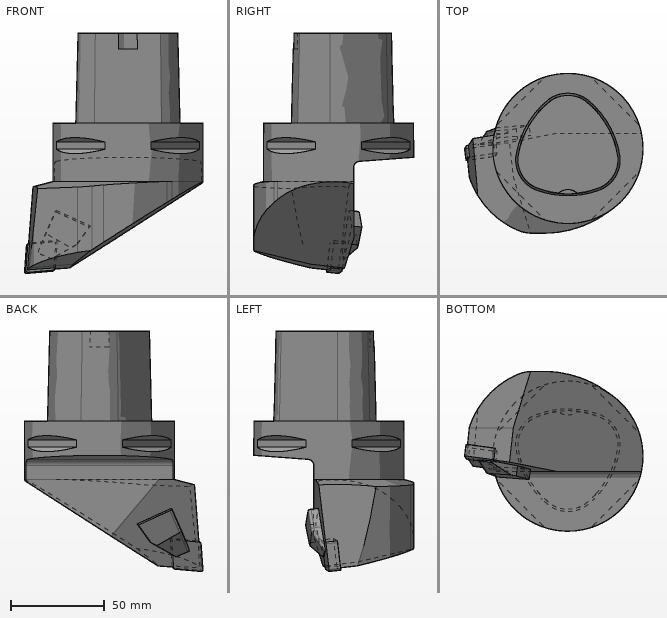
import cadquery as cq
import math


def tan_deg(angle):
    return math.tan(math.radians(angle))


shank_length = 48.0
flange_radius = 80.0 / 2
flange_height = 31.0
seam_angle = 120.0
tool_reach = 80.0
big = 256.0

lobe_reach = 29.5
flat_reach = 25.2
junction_radius = 28.2
junction_angle = 20.7
shank_taper = math.degrees(math.atan(1 / 40))
notch_radius = 7.3
notch_depth_y = -21.9
notch_height = 8.5

groove_z = -11.9
groove_floor_distance = 35.6
groove_floor_height = 3.8
groove_mouth_height = 8.6

chip_wall_y = 8.0
chip_roof_edge_z = -18.2
chip_roof_slope = 4.3
chip_corner_radius = 3.2

head_side_x = -57.6
side_arc_start = (-52.6, -15.1)
side_arc_middle = (-47.9, -25.3)
side_arc_end = (-26.9, -43.5)
back_y = -45.2
back_left_x = -19.1
back_right_x = -12.9
back_arc_end_x = 20.9
blend_x = 23.4

shoulder_slope = 15.0
relief_angle = 5.0
side_point = (-50.5, 5.1, -33.8)
heel_point = (-52.6, -15.1, -77.0)
primary_relief = 6.0
secondary_relief = 12.0
underside_height = -57.0
underside_slope_x = 0.643
underside_slope_y = -0.043

rake_slope_x = 0.128
rake_slope_z = 0.108
insert_nose = (-55.2, -0.3, -80.1)

insert_edge = 15.9
insert_angle = 80.0
insert_thickness = 6.3
insert_corner_radius = 1.0

clamp_outline = [(7.2, 11.3), (13.2, 24.0), (17.7, 33.9), (35.8, 25.6), (28.8, 16.0), (14.7, 8.0)]
clamp_height = 5.5
clamp_direction = 60.0
clamp_nose_rise = 0.4
clamp_nose_length = 9.5
clamp_edge_radius = 1.5

rake_plane = cq.Plane(origin=insert_nose, xDir=(1, rake_slope_x, 0), normal=(rake_slope_x, -1, rake_slope_z))


def block_beyond(point, normal):
    """Large block on the side of a plane that its normal points to."""
    plane = cq.Plane(origin=point, normal=normal)
    return cq.Workplane(plane).box(big, big, big, centered=(True, True, False))


def polar(radius, angle):
    return (radius * math.cos(math.radians(angle)), radius * math.sin(math.radians(angle)))


def make_shank():
    outline = cq.Workplane("XY").moveTo(*polar(junction_radius, 90 - junction_angle))
    for lobe_angle in (90, 210, 330):
        outline = outline.threePointArc(
            polar(lobe_reach, lobe_angle), polar(junction_radius, lobe_angle + junction_angle)
        ).threePointArc(
            polar(flat_reach, lobe_angle + 60), polar(junction_radius, lobe_angle + 120 - junction_angle)
        )
    shank = outline.close().extrude(shank_length, taper=shank_taper)
    notch = (
        cq.Workplane("XY", origin=(0, notch_depth_y - notch_radius, shank_length - notch_height))
        .circle(notch_radius)
        .extrude(notch_height)
    )
    return shank.cut(notch)


def make_groove():
    half_floor = groove_floor_height / 2
    flank = (groove_mouth_height / 2 - half_floor) / (flange_radius - groove_floor_distance)
    outer = flange_radius + 1.3
    half_outer = half_floor + flank * (outer - groove_floor_distance)
    return (
        cq.Workplane("XZ", origin=(0, 0, groove_z))
        .polyline([
            (groove_floor_distance, -half_floor),
            (outer, -half_outer),
            (outer, half_outer),
            (groove_floor_distance, half_floor),
        ])
        .close()
        .extrude(flange_radius, both=True)
    )


def make_flange():
    disc = cq.Workplane("XY").circle(flange_radius).extrude(-flange_height)
    flange = disc.rotate((0, 0, 0), (0, 0, 1), seam_angle)
    for angle in (45, 135, 225, 315):
        flange = flange.cut(make_groove().rotate((0, 0, 0), (0, 0, 1), angle))
    roof_wall_z = chip_roof_edge_z - (flange_radius - chip_wall_y) * tan_deg(chip_roof_slope)
    chip_space = (
        cq.Workplane("YZ")
        .polyline([
            (chip_wall_y, roof_wall_z),
            (flange_radius, chip_roof_edge_z),
            (flange_radius, -tool_reach),
            (chip_wall_y, -tool_reach),
        ])
        .close()
        .extrude(big / 2, both=True)
        .edges(cq.selectors.NearestToPointSelector((0, chip_wall_y, roof_wall_z)))
        .fillet(chip_corner_radius)
    )
    return flange.cut(chip_space)


def make_head_blank():
    blend_y = -math.sqrt(flange_radius**2 - blend_x**2)
    back_arc_end_y = blend_y + (blend_x - back_arc_end_x) * blend_x / blend_y
    wall_x = math.sqrt(flange_radius**2 - chip_wall_y**2)
    column = (
        cq.Workplane("XY", origin=(0, 0, -tool_reach))
        .moveTo(head_side_x, chip_wall_y)
        .lineTo(head_side_x, side_arc_start[1])
        .lineTo(*side_arc_start)
        .threePointArc(side_arc_middle, side_arc_end)
        .tangentArcPoint((back_left_x, back_y), relative=False)
        .lineTo(back_right_x, back_y)
        .tangentArcPoint((back_arc_end_x, back_arc_end_y), relative=False)
        .lineTo(blend_x, blend_y)
        .threePointArc((flange_radius, 0), (wall_x, chip_wall_y))
        .close()
        .extrude(tool_reach)
    )
    shoulder_radius = 2 * flange_radius
    shoulder_drop = (shoulder_radius - flange_radius) * tan_deg(shoulder_slope)
    shoulder = (
        cq.Workplane("XZ")
        .polyline([
            (0, -flange_height),
            (flange_radius, -flange_height),
            (shoulder_radius, -flange_height - shoulder_drop),
            (shoulder_radius, -tool_reach),
            (0, -tool_reach),
        ])
        .close()
        .revolve(360, (0, 0, 0), (0, 1, 0))
    )
    return column.intersect(shoulder)


def make_head():
    relief = tan_deg(relief_angle)
    trims = [
        (side_point, (-1, -relief, relief)),
        (heel_point, (relief, -tan_deg(primary_relief), -1)),
        (heel_point, (relief, -tan_deg(secondary_relief), -1)),
        ((0, 0, underside_height), (underside_slope_x, underside_slope_y, -1)),
        (insert_nose, (-rake_slope_x, 1, -rake_slope_z)),
    ]
    head = make_head_blank()
    for point, normal in trims:
        head = head.cut(block_beyond(point, normal))
    return head


def make_clamp():
    clamp = cq.Workplane(rake_plane).polyline(clamp_outline).close().extrude(-clamp_height)
    tip = clamp_outline[0]
    nose_direction = polar(1, clamp_direction)
    slope = (clamp_height - clamp_nose_rise) / clamp_nose_length
    outward = (-slope * nose_direction[0], -slope * nose_direction[1], -1.3)
    normal = rake_plane.toWorldCoords(outward) - rake_plane.origin
    tip_point = rake_plane.toWorldCoords((tip[0], tip[1], -clamp_nose_rise))
    clamp = clamp.cut(block_beyond(tip_point, normal))
    rounded_edges = []
    for edge in clamp.edges().vals():
        middle = rake_plane.toLocalCoords(edge.Center())
        on_left_side = middle.x < clamp_outline[2][0] and middle.y > clamp_outline[0][1]
        above_base = middle.z < -clamp_height / 3
        upright = abs(edge.tangentAt(0.5).dot(rake_plane.zDir)) > 0.9
        if on_left_side and above_base and not upright:
            rounded_edges.append(edge)
    return clamp.newObject(rounded_edges).fillet(clamp_edge_radius)


def make_insert():
    lean = (90 - insert_angle) / 2
    right = cq.Vector(*polar(insert_edge, lean))
    up = cq.Vector(*polar(insert_edge, lean + insert_angle))
    corners = [cq.Vector(0, 0), right, right + up, up]
    return (
        cq.Workplane(rake_plane)
        .polyline([(c.x, c.y) for c in corners])
        .close()
        .extrude(insert_thickness)
        .edges(cq.selectors.ParallelDirSelector(rake_plane.zDir))
        .fillet(insert_corner_radius)
    )


insert = make_insert()
holder = make_shank().union(make_flange()).union(make_head()).union(make_clamp()).cut(insert)
result = cq.Compound.makeCompound([holder.solids().val(), insert.val()])